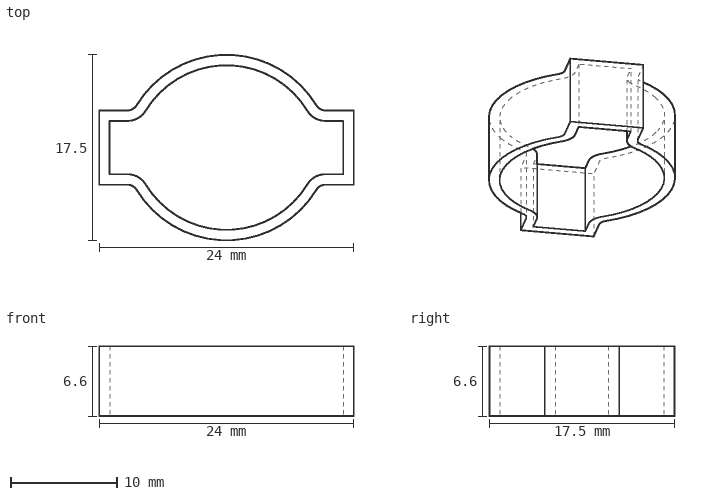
import cadquery as cq
import math

length = 24.0
width = 17.5
height = 6.6
wall = 1.0
ear_width = 7.0
arc_radius = 9.9
blend_radius = 1.0

arc_offset = arc_radius - width / 2


def outline_prism(inset):
    """Solid inside the ring's outer outline, moved inward by inset."""
    half_length = length / 2 - inset
    half_ear = ear_width / 2 - inset
    radius = arc_radius - inset
    blend = blend_radius + inset

    blend_y = half_ear + blend
    centre_distance = radius + blend
    blend_x = math.sqrt(centre_distance**2 - (blend_y + arc_offset) ** 2)
    touch_x = blend_x * radius / centre_distance
    touch_y = (blend_y + arc_offset) * radius / centre_distance - arc_offset

    to_bow = math.atan2(touch_y - blend_y, touch_x - blend_x) % (2 * math.pi)
    mid_angle = (to_bow + 1.5 * math.pi) / 2
    mid_x = blend_x + blend * math.cos(mid_angle)
    mid_y = blend_y + blend * math.sin(mid_angle)
    crown_y = radius - arc_offset

    return (
        cq.Workplane("XY")
        .moveTo(-half_length, -half_ear)
        .lineTo(-half_length, half_ear)
        .lineTo(-blend_x, half_ear)
        .threePointArc((-mid_x, mid_y), (-touch_x, touch_y))
        .threePointArc((0, crown_y), (touch_x, touch_y))
        .threePointArc((mid_x, mid_y), (blend_x, half_ear))
        .lineTo(half_length, half_ear)
        .lineTo(half_length, -half_ear)
        .lineTo(blend_x, -half_ear)
        .threePointArc((mid_x, -mid_y), (touch_x, -touch_y))
        .threePointArc((0, -crown_y), (-touch_x, -touch_y))
        .threePointArc((-mid_x, -mid_y), (-blend_x, -half_ear))
        .close()
        .extrude(height)
    )


result = outline_prism(0).cut(outline_prism(wall))